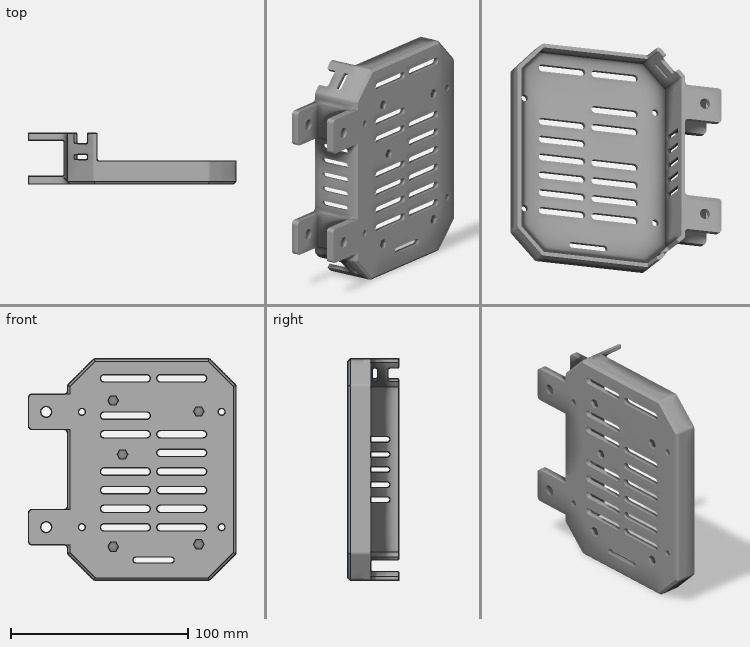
import cadquery as cq
import math

body_width = 95.0
body_height = 125.0
corner_cut = 15.0
corner_radius = 2.5
front_chamfer = 1.5
wall = 2.2
floor = 3.0
low_depth = 13.0
full_depth = 28.8

raised_length = 16.8
raised_radius = 1.0

tab_reach = 22.0
tab_height = 20.0
front_tab_thickness = 4.5
back_tab_thickness = 4.1
tab_spacing = 65.0
tab_radius = 2.0
tab_hole_diameter = 6.0
tab_hole_inset = 10.0
pad_reach = 2.0
pad_fillet = 0.8

vent_length = 28.0
vent_width = 4.0
vent_top = 51.4
vent_pitch = 10.5
vent_columns = (
    (32.6, (0, 2, 3, 5, 6, 7, 8)),
    (64.4, (0, 3, 4, 5, 6, 7, 8)),
)
strap_slot_length = 23.0
strap_slot_width = 3.2
strap_slot_place = (48.5, -51.0)
screw_hole_diameter = 3.8
screw_hole_inset = 8.1
hex_across_corners = 6.0
hex_depth = 2.0
hex_places = ((25.8, 38.9), (74.0, 32.8), (31.0, 8.5), (25.8, -43.5), (74.0, -42.1))

side_slot_length = 17.8
side_slot_width = 3.0
side_slot_depth = 14.9
side_slot_pitch = 8.5
side_slot_count = 5

corner_slot_width = 2.9
opening_radius = 1.0
upper_opening_length = 10.5
upper_notch_floor = 22.8
upper_slot_depth = 15.2
lower_opening_length = 11.2
lower_notch_floor = low_depth
lower_slot_depth = 8.2


def sketch_plane(y):
    """Workplane facing the front, at depth y; extrude by a negative length to go back."""
    return cq.Workplane("XZ", origin=(0, y, 0))


def octagon(inset, y_start, y_end):
    """Body outline moved inward by inset, from y_start back to y_end."""
    left = inset
    right = body_width - inset
    top = body_height / 2 - inset
    cut = corner_cut - inset * (2 - math.sqrt(2))
    points = [
        (left + cut, top), (right - cut, top), (right, top - cut), (right, cut - top),
        (right - cut, -top), (left + cut, -top), (left, cut - top), (left, top - cut),
    ]
    return sketch_plane(y_start).polyline(points).close().extrude(y_start - y_end)


def tray():
    """Chamfered octagonal tray whose walls are tall on the left and low elsewhere."""
    block = octagon(0, 0, full_depth)
    rounded_block = block.edges("|Y").fillet(corner_radius)
    outside = block.faces("<Y").chamfer(front_chamfer).intersect(rounded_block)
    side_profile = (
        cq.Workplane("XY")
        .lineTo(body_width, 0)
        .lineTo(body_width, low_depth)
        .lineTo(raised_length + raised_radius, low_depth)
        .radiusArc((raised_length, low_depth + raised_radius), raised_radius)
        .lineTo(raised_length, full_depth - raised_radius)
        .radiusArc((raised_length - raised_radius, full_depth), -raised_radius)
        .lineTo(0, full_depth)
        .close()
        .extrude(body_height / 2, both=True)
    )
    return outside.intersect(side_profile).cut(octagon(wall, floor, full_depth))


def hinge(z):
    """Two tabs on a wall pad whose upper and lower ends flare into the wall."""
    half = tab_height / 2
    arc_middle = pad_reach * math.sqrt(0.5)
    pad = (
        sketch_plane(0)
        .moveTo(wall, half + pad_reach)
        .lineTo(0, half + pad_reach)
        .threePointArc((arc_middle - pad_reach, half + pad_reach - arc_middle), (-pad_reach, half))
        .lineTo(-pad_reach, -half)
        .threePointArc((arc_middle - pad_reach, arc_middle - half - pad_reach), (0, -half - pad_reach))
        .lineTo(wall, -half - pad_reach)
        .close()
        .extrude(-full_depth)
    )
    chamfer_limit = (
        cq.Workplane("XY")
        .polyline([
            (-pad_reach, front_chamfer + pad_reach), (front_chamfer, 0), (wall, 0),
            (wall, full_depth), (-pad_reach, full_depth),
        ])
        .close()
        .extrude(body_height / 2, both=True)
    )
    pad = pad.intersect(chamfer_limit)

    tab_length = tab_reach + wall
    bracket = (
        cq.Workplane("XY")
        .box(tab_length, full_depth, tab_height, centered=(False, False, True))
        .translate((-tab_reach, 0, 0))
        .edges("|Y and <X").fillet(tab_radius)
    )
    gap_width = full_depth - front_tab_thickness - back_tab_thickness
    gap = (
        cq.Workplane("XY")
        .box(tab_reach - pad_reach, gap_width, tab_height, centered=(False, False, True))
        .translate((-tab_reach, front_tab_thickness, 0))
        .edges("|Z and >X").fillet(pad_fillet)
    )
    bores = (
        sketch_plane(0)
        .center(tab_hole_inset - tab_reach, 0)
        .circle(tab_hole_diameter / 2)
        .extrude(-full_depth)
    )
    return bracket.cut(gap).cut(bores).union(pad).translate((0, 0, z))


def floor_openings():
    """Vents, strap slot and screw holes through the floor, and blind hexagon pockets."""
    vents = [
        (x, vent_top - row * vent_pitch)
        for x, rows in vent_columns
        for row in rows
    ]
    screws = [
        (x, z)
        for x in (screw_hole_inset, body_width - screw_hole_inset)
        for z in (-tab_spacing / 2, tab_spacing / 2)
    ]
    front = sketch_plane(0)
    openings = front.pushPoints(vents).slot2D(vent_length, vent_width).extrude(-floor)
    strap = front.pushPoints([strap_slot_place]).slot2D(strap_slot_length, strap_slot_width).extrude(-floor)
    holes = front.pushPoints(screws).circle(screw_hole_diameter / 2).extrude(-floor)
    pockets = front.pushPoints(hex_places).polygon(6, hex_across_corners).extrude(-hex_depth)
    return openings.union(strap).union(holes).union(pockets)


def side_slots():
    """Row of slots through the left wall, between the two hinges."""
    return (
        cq.Workplane("YZ")
        .center(side_slot_depth, 0)
        .rarray(1.2, side_slot_pitch, 1, side_slot_count)
        .slot2D(side_slot_length, side_slot_width)
        .extrude(wall)
    )


def corner_openings(side, length, notch_floor, slot_depth):
    """Notch and slot cut square through a raised corner wall; side is 1 for upper, -1 for lower."""
    through = 2 * wall
    notch = (
        cq.Workplane("XY")
        .box(length, full_depth - notch_floor, through, centered=(True, False, True))
        .edges("|Z and <Y").fillet(opening_radius)
        .translate((0, notch_floor, 0))
    )
    lip = (
        cq.Workplane("XY")
        .rect(length + 2 * opening_radius, 2 * opening_radius)
        .extrude(through / 2, both=True)
        .translate((0, full_depth, 0))
    )
    lip_rounds = (
        cq.Workplane("XY")
        .pushPoints([
            (end * (length / 2 + opening_radius), full_depth - opening_radius)
            for end in (-1, 1)
        ])
        .circle(opening_radius)
        .extrude(through / 2, both=True)
    )
    slot = (
        cq.Workplane("XY")
        .box(length, corner_slot_width, through)
        .edges("|Z").fillet(opening_radius)
        .translate((0, slot_depth, 0))
    )
    cutter = notch.union(lip.cut(lip_rounds)).union(slot)
    middle = corner_cut / 2
    return (
        cutter
        .rotate((0, 0, 0), (0, 1, 0), -45 * side)
        .translate((middle, 0, side * (body_height / 2 - middle)))
    )


result = tray()
for hinge_z in (-tab_spacing / 2, tab_spacing / 2):
    result = result.union(hinge(hinge_z))
result = (
    result
    .cut(floor_openings())
    .cut(side_slots())
    .cut(corner_openings(1, upper_opening_length, upper_notch_floor, upper_slot_depth))
    .cut(corner_openings(-1, lower_opening_length, lower_notch_floor, lower_slot_depth))
)